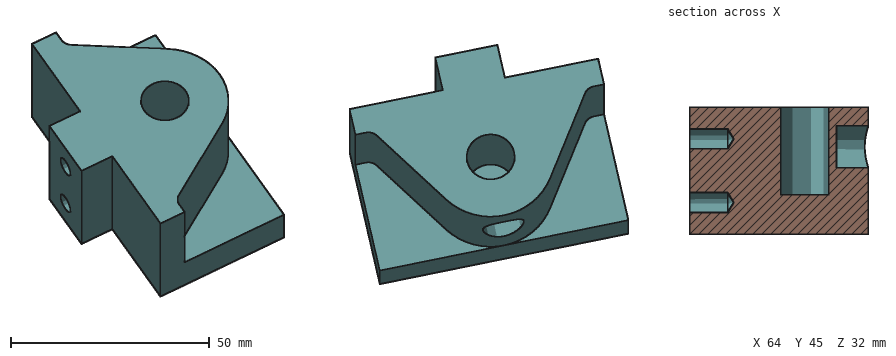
import cadquery as cq
import math

length = 64.0
height = 32.0
base_height = 10.0
wall_thickness = 7.05
tab_width = 16.0
tab_depth = 8.95

boss_radius = 16.0
boss_center_y = 20.0
body_depth = boss_center_y + boss_radius
flank_angle = math.radians(33.3)
foot_radius = 3.0

bore_diameter = 12.0
cross_bore_diameter = 10.5
cross_bore_z = 22.0
cross_bore_depth = 8.0
screw_diameter = 4.9
screw_depth = 9.6
screw_tip_angle = math.radians(118)
screw_spacing = height / 2


def make_body():
    """L-shaped body with its wall at y = 0 and the tab in front of it."""
    base = cq.Workplane("XY").box(length, body_depth, base_height, centered=(True, False, False))
    wall = cq.Workplane("XY").box(length, wall_thickness, height, centered=(True, False, False))
    tab = (
        cq.Workplane("XY")
        .box(tab_width, tab_depth, height, centered=(True, False, False))
        .translate((0, -tab_depth, 0))
    )
    return base.union(wall).union(tab)


def make_boss():
    """Rounded boss whose flanks are tangent to the nose and filleted into the wall."""
    tangent_x = boss_radius * math.cos(flank_angle)
    tangent_y = boss_center_y + boss_radius * math.sin(flank_angle)

    fillet_y = wall_thickness + foot_radius
    fillet_offset = boss_radius + foot_radius
    fillet_x = (fillet_offset - (fillet_y - boss_center_y) * math.sin(flank_angle)) / math.cos(flank_angle)
    foot_x = fillet_x - foot_radius * math.cos(flank_angle)
    foot_y = fillet_y - foot_radius * math.sin(flank_angle)
    middle_angle = (math.pi / 2 + flank_angle) / 2
    middle_x = fillet_x - foot_radius * math.cos(middle_angle)
    middle_y = fillet_y - foot_radius * math.sin(middle_angle)

    return (
        cq.Workplane("XY")
        .moveTo(-fillet_x, 0)
        .lineTo(fillet_x, 0)
        .lineTo(fillet_x, wall_thickness)
        .threePointArc((middle_x, middle_y), (foot_x, foot_y))
        .lineTo(tangent_x, tangent_y)
        .threePointArc((0, body_depth), (-tangent_x, tangent_y))
        .lineTo(-foot_x, foot_y)
        .threePointArc((-middle_x, middle_y), (-fillet_x, wall_thickness))
        .close()
        .extrude(height)
    )


def make_vertical_bore():
    """Bore from the top down to the level of the base plate."""
    return (
        cq.Workplane("XY", origin=(0, boss_center_y, base_height))
        .circle(bore_diameter / 2)
        .extrude(height - base_height)
    )


def make_cross_bore():
    """Horizontal bore from the nose that stops short of the vertical bore."""
    return (
        cq.Workplane("XZ", origin=(0, body_depth, cross_bore_z))
        .circle(cross_bore_diameter / 2)
        .extrude(cross_bore_depth)
    )


def make_screw_hole(z):
    """Blind hole with a drill point, entering the tab face."""
    radius = screw_diameter / 2
    tip_length = radius / math.tan(screw_tip_angle / 2)
    return (
        cq.Workplane("XY")
        .lineTo(radius, 0)
        .lineTo(radius, screw_depth)
        .lineTo(0, screw_depth + tip_length)
        .close()
        .revolve(360, (0, 0, 0), (0, 1, 0))
        .translate((0, -tab_depth, z))
    )


result = make_body().union(make_boss()).cut(make_vertical_bore()).cut(make_cross_bore())
for side in (-1, 1):
    result = result.cut(make_screw_hole(height / 2 + side * screw_spacing / 2))